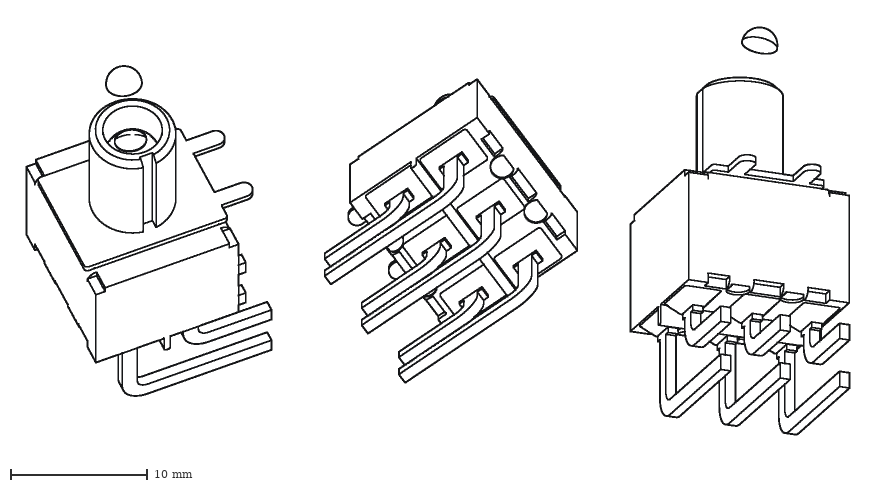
import cadquery as cq
import math


overall_height = 30.9

case_length = 12.7
case_width = 11.43
case_height = 8.9
step_half_length = 4.8
edge_radius = 0.75
corner_step_height = 0.45
foot_notch_height = 0.75

bay_length = 1.9
bay_offset = 2.13
bay_roll_radius = 0.65
pocket_height = 0.22
pocket_diameter = 1.73

rib_thickness = 0.5
rib_depth = 1.5
rib_edge_radius = 0.22

plate_length = 8.85
plate_thickness = 0.45
plate_corner_radius = 0.28
tab_width = 1.3
tab_offset = 2.55
tab_reach = 8.43

bushing_diameter = 6.35
bushing_top = 17.8
bushing_chamfer = 0.45
bore_diameter = 4.35
keyway_width = 1.02
keyway_floor = 2.47

ball_diameter = 4.23
ball_wall = 0.05
ball_height = 14.35
ball_opening_diameter = 2.35
lever_tilt = 12.2
tip_diameter = 2.65

lead_pitch = 4.7
lead_row_offset = 2.45
lead_width = 0.8
lead_thickness = 1.2
lead_bend_radius = 0.8
lead_end = 8.9
front_lead_depth = 8.0
rear_lead_depth = 4.23
pad_length = 2.9
pad_width = 4.2
pad_depth = 1.0
pad_edge_radius = 0.3
pad_taper = 42.0
shoulder_width = 2.05
shoulder_depth = 1.42

tip_rise = overall_height - front_lead_depth - tip_diameter / 2 - ball_height
lever_length = tip_rise / math.cos(math.radians(lever_tilt))

plate_top = case_height + plate_thickness
lead_columns = (-lead_pitch, 0, lead_pitch)


def block(x_range, y_range, z_range):
    """Box between the given coordinate limits."""
    (x0, x1), (y0, y1), (z0, z1) = x_range, y_range, z_range
    return cq.Workplane("XY").box(x1 - x0, y1 - y0, z1 - z0, centered=False).translate((x0, y0, z0))


def make_case():
    half_length = case_length / 2
    edge_y = case_width / 2
    inner_y = edge_y - edge_radius
    full_x = (-half_length, half_length)
    middle_x = (-step_half_length, step_half_length)
    edge_strips = ((-edge_y, -inner_y), (inner_y, edge_y))
    case = block(full_x, (-edge_y, edge_y), (0, case_height))

    rolled = block(middle_x, (-edge_y, edge_y), (0, case_height))
    rolled = rolled.edges("|X and >Z").fillet(edge_radius)
    for strip in edge_strips:
        case = case.cut(block(full_x, strip, (case_height - corner_step_height, case_height)))
        case = case.cut(block(middle_x, strip, (0, case_height)))
    case = case.union(rolled)
    for strip in edge_strips:
        case = case.cut(block(middle_x, strip, (0, foot_notch_height)))

    for side in (-1, 1):
        for x in (-bay_offset, bay_offset):
            bay = (
                cq.Workplane("XY")
                .box(bay_length, edge_radius, foot_notch_height, centered=(True, True, False))
                .translate((x, side * (edge_y - edge_radius / 2), 0))
            )
            outer_side = "<Y" if side < 0 else ">Y"
            bay = bay.edges("|X and <Z and " + outer_side).fillet(bay_roll_radius)
            pocket = cq.Workplane("XY", origin=(x, side * inner_y, 0))
            pocket = pocket.circle(pocket_diameter / 2).extrude(pocket_height)
            case = case.union(bay).cut(pocket)
    return case


def make_rib():
    rib = cq.Workplane("XY").box(case_length, rib_thickness, rib_depth, centered=(True, True, False))
    rib = rib.translate((0, 0, -rib_depth))
    return rib.edges("|X and <Z").fillet(rib_edge_radius)


def make_plate():
    plate = (
        cq.Workplane("XY", origin=(0, 0, case_height))
        .rect(plate_length, case_width)
        .extrude(plate_thickness)
        .edges("|Z")
        .fillet(plate_corner_radius)
    )
    straight_end = tab_reach - tab_width / 2
    for x in (-tab_offset, tab_offset):
        tab = (
            cq.Workplane("XY", origin=(x, 0, case_height))
            .moveTo(-tab_width / 2, 0)
            .lineTo(tab_width / 2, 0)
            .lineTo(tab_width / 2, straight_end)
            .threePointArc((0, tab_reach), (-tab_width / 2, straight_end))
            .close()
            .extrude(plate_thickness)
        )
        plate = plate.union(tab)
    return plate


def along_lever(shape):
    """Place a shape modelled on +Z from the origin onto the tilted lever axis."""
    return shape.rotate((0, 0, 0), (0, 1, 0), -lever_tilt).translate((0, 0, ball_height))


def make_bushing():
    """Chamfered bushing with a keyway, closed at the ball's equator by the hollow ball."""
    height = bushing_top - plate_top
    bushing = cq.Workplane("XY", origin=(0, 0, plate_top)).circle(bushing_diameter / 2).extrude(height)
    bushing = bushing.faces(">Z").edges().chamfer(bushing_chamfer)
    keyway = block(
        (keyway_floor, bushing_diameter), (-keyway_width / 2, keyway_width / 2), (plate_top, bushing_top)
    )
    bore = cq.Workplane("XY", origin=(0, 0, ball_height)).circle(bore_diameter / 2)
    bore = bore.extrude(bushing_top - ball_height)
    ball = cq.Workplane("XY").sphere(ball_diameter / 2).translate((0, 0, ball_height))
    hollow = cq.Workplane("XY").sphere(ball_diameter / 2 - ball_wall).translate((0, 0, ball_height))
    opening = along_lever(cq.Workplane("XY").circle(ball_opening_diameter / 2).extrude(ball_diameter))
    return bushing.cut(keyway).cut(bore).union(ball).cut(hollow).cut(opening)


def make_pad(x, y):
    """Tapered sealing pad under the case with rounded edges."""
    pad = cq.Workplane("XY").rect(pad_length, pad_width).extrude(-pad_depth, taper=pad_taper)
    return pad.edges("not >Z").fillet(pad_edge_radius).translate((x, y, 0))


def make_lead(x, y, depth):
    """Lead that drops from the case and bends toward +Y, with a wide shoulder at the top."""
    outer_y = y - lead_thickness / 2
    inner_y = y + lead_thickness / 2
    outer_radius = lead_bend_radius + lead_thickness
    bend_y = inner_y + lead_bend_radius
    bend_z = outer_radius - depth
    diagonal = math.sqrt(0.5)
    lead = (
        cq.Workplane("YZ", origin=(x - lead_width / 2, 0, 0))
        .moveTo(outer_y, 0)
        .lineTo(outer_y, bend_z)
        .threePointArc(
            (bend_y - outer_radius * diagonal, bend_z - outer_radius * diagonal), (bend_y, -depth)
        )
        .lineTo(lead_end, -depth)
        .lineTo(lead_end, lead_thickness - depth)
        .lineTo(bend_y, lead_thickness - depth)
        .threePointArc(
            (bend_y - lead_bend_radius * diagonal, bend_z - lead_bend_radius * diagonal), (inner_y, bend_z)
        )
        .lineTo(inner_y, 0)
        .close()
        .extrude(lead_width)
    )
    shoulder = block(
        (x - lead_width / 2, x + lead_width / 2),
        (y - shoulder_width / 2, y + shoulder_width / 2),
        (-shoulder_depth, 0),
    )
    return lead.union(shoulder)


def make_switch_body():
    body = make_case().union(make_rib()).union(make_plate()).union(make_bushing())
    for x in lead_columns:
        for y, depth in ((-lead_row_offset, front_lead_depth), (lead_row_offset, rear_lead_depth)):
            body = body.union(make_pad(x, y)).union(make_lead(x, y, depth))
    return body


def make_tip_cap():
    """Half-ball tip, apart from the rest of the switch."""
    tip = cq.Workplane("XY").sphere(tip_diameter / 2)
    upper_half = cq.Workplane("XY").rect(tip_diameter, tip_diameter).extrude(tip_diameter)
    return along_lever(tip.intersect(upper_half).translate((0, 0, lever_length)))


switch_body = make_switch_body()
tip_cap = make_tip_cap()
result = cq.Compound.makeCompound([switch_body.val(), tip_cap.val()])